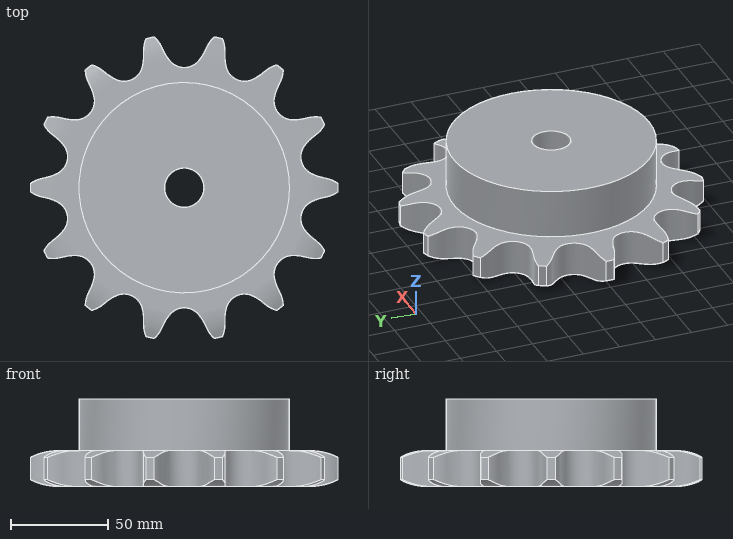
import cadquery as cq
import math

tooth_count = 14
chain_pitch = 31.7
roller_diameter = 19.1
outer_diameter = 157.8
sprocket_thickness = 18.5
overall_height = 45.0
hub_diameter = 108.0
bore_diameter = 20.0
side_relief_radius = 31.7
tooth_tip_width = 11.5

seat_clearance_factor = 1.005
work_center_offset = 0.8 * roller_diameter
top_center_offset = 1.4 * roller_diameter

half_tooth_angle = math.pi / tooth_count
outer_radius = outer_diameter / 2
pitch_radius = chain_pitch / (2 * math.sin(half_tooth_angle))
seat_radius = seat_clearance_factor * roller_diameter / 2
work_radius = work_center_offset + seat_radius
seat_angle = math.radians(35 + 60 / tooth_count)
work_angle = math.radians(18 - 56 / tooth_count)
flank_angle = seat_angle - work_angle
top_radius = (
    work_center_offset * math.cos(work_angle)
    + top_center_offset * math.cos(flank_angle - half_tooth_angle)
    - work_radius
)


def offset(point, distance, angle):
    """Point at a distance from another one, along a direction in radians."""
    return (point[0] + distance * math.cos(angle), point[1] + distance * math.sin(angle))


def tooth_gap():
    """Roller gap centred on +Y: seat, working arcs, straight flanks and topping arcs."""
    seat_center = (0, pitch_radius)
    work_center = offset(seat_center, work_center_offset, math.pi - seat_angle)
    top_center = offset(seat_center, top_center_offset, -half_tooth_angle)

    center_distance = math.hypot(*top_center)
    center_direction = math.atan2(top_center[1], top_center[0])
    tip_cosine = (outer_radius**2 + center_distance**2 - top_radius**2) / (2 * outer_radius * center_distance)
    tip = offset((0, 0), outer_radius, center_direction + math.acos(tip_cosine))
    tip_angle = math.atan2(tip[1] - top_center[1], tip[0] - top_center[0])
    flank_normal = math.pi - flank_angle
    top_middle = offset(top_center, top_radius, (tip_angle + flank_normal) / 2)
    flank_end = offset(top_center, top_radius, flank_normal)
    flank_start = offset(work_center, work_radius, -flank_angle)
    work_middle = offset(work_center, work_radius, -(flank_angle + seat_angle) / 2)
    seat_end = offset(seat_center, seat_radius, -seat_angle)
    seat_bottom = offset(seat_center, seat_radius, -math.pi / 2)

    def mirror(point):
        return (-point[0], point[1])

    clear_height = outer_radius + roller_diameter
    return (
        cq.Workplane("XY")
        .moveTo(tip[0], clear_height)
        .lineTo(*tip)
        .threePointArc(top_middle, flank_end)
        .lineTo(*flank_start)
        .threePointArc(work_middle, seat_end)
        .threePointArc(seat_bottom, mirror(seat_end))
        .threePointArc(mirror(work_middle), mirror(flank_start))
        .lineTo(*mirror(flank_end))
        .threePointArc(mirror(top_middle), mirror(tip))
        .lineTo(-tip[0], clear_height)
        .close()
        .extrude(sprocket_thickness)
    )


def sprocket_blank():
    """Disc whose rim is rounded on both sides by arcs tangent to its faces."""
    relief_depth = (sprocket_thickness - tooth_tip_width) / 2
    relief_slope = math.acos(1 - relief_depth / side_relief_radius)
    face_radius = outer_radius - side_relief_radius * math.sin(relief_slope)
    lower_center = (face_radius, side_relief_radius)
    upper_center = (face_radius, sprocket_thickness - side_relief_radius)
    lower_middle = offset(lower_center, side_relief_radius, (relief_slope - math.pi) / 2)
    upper_middle = offset(upper_center, side_relief_radius, (math.pi - relief_slope) / 2)
    return (
        cq.Workplane("XZ")
        .lineTo(face_radius, 0)
        .threePointArc(lower_middle, (outer_radius, relief_depth))
        .lineTo(outer_radius, sprocket_thickness - relief_depth)
        .threePointArc(upper_middle, (face_radius, sprocket_thickness))
        .lineTo(0, sprocket_thickness)
        .close()
        .revolve(360, (0, 0), (0, 1))
    )


def toothed_disc():
    """Blank with a tooth centred on +X and a gap cut between each pair of teeth."""
    disc = sprocket_blank()
    gap = tooth_gap()
    gap_spacing = 360 / tooth_count
    first_turn = gap_spacing / 2 - 90
    for index in range(tooth_count):
        disc = disc.cut(gap.rotate((0, 0, 0), (0, 0, 1), first_turn + index * gap_spacing))
    return disc


hub = cq.Workplane("XY").circle(hub_diameter / 2).extrude(overall_height)
bore = cq.Workplane("XY").circle(bore_diameter / 2).extrude(overall_height)

result = toothed_disc().union(hub).cut(bore)